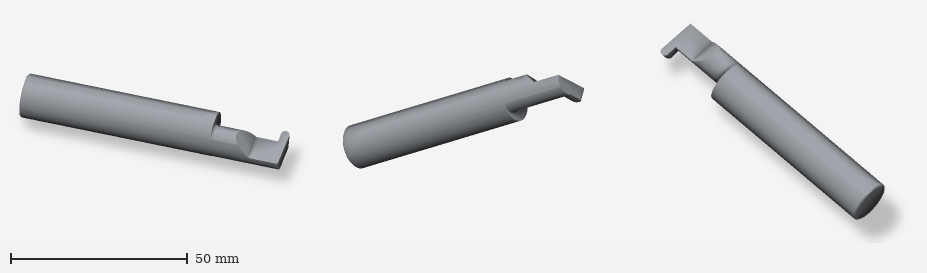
import cadquery as cq
import math

total_length = 76.2
shank_diameter = 12.65
shank_radius = shank_diameter / 2
height_over_flat = 12.4
flat_z = height_over_flat - shank_radius
shank_length = 55.8
rear_chamfer = 0.4

neck_radius = 4.6
neck_axis_y = -2.6
neck_back_radius = 3.8
root_fillet = 0.6
cutting_face_z = 0.0
slope_end_x = 67.3
slope_start_x = slope_end_x - (neck_radius - cutting_face_z)

tooth_width = 2.5
nose_radius = tooth_width / 2
tooth_reach = shank_radius
nose_center_y = tooth_reach - nose_radius
tooth_depth = 4.2
tip_relief_angle = 20.0
end_face_setback = 0.45


def make_shank():
    """Round bar with a rear chamfer."""
    bar = cq.Workplane("YZ").circle(shank_radius).extrude(shank_length)
    return bar.faces("<X").chamfer(rear_chamfer)


def make_flat_cutter():
    """Block that leaves one flat along the top of the shank."""
    return cq.Workplane("XY").workplane(offset=flat_z).rect(
        2 * total_length, 2 * shank_diameter
    ).extrude(shank_diameter)


def make_neck():
    """Eccentric neck with a filleted root, trimmed to the shank's cylinder."""
    back_corner_z = neck_radius - neck_back_radius
    arc_offset = neck_back_radius * math.sqrt(0.5)
    back_y = neck_axis_y - neck_back_radius
    arc_y = neck_axis_y - arc_offset
    arc_z = back_corner_z + arc_offset
    shoulder = cq.Workplane("YZ", origin=(shank_length, 0, 0)).rect(
        2 * shank_diameter, 2 * shank_diameter
    ).extrude(-shank_radius)
    neck = (
        cq.Workplane("YZ", origin=(shank_length, 0, 0))
        .moveTo(neck_axis_y, neck_radius)
        .threePointArc((neck_axis_y + neck_radius, 0), (neck_axis_y, -neck_radius))
        .threePointArc((arc_y, -arc_z), (back_y, -back_corner_z))
        .lineTo(back_y, back_corner_z)
        .threePointArc((arc_y, arc_z), (neck_axis_y, neck_radius))
        .close()
        .extrude(total_length - shank_length)
    )
    neck = shoulder.union(neck)
    root_zone = cq.selectors.BoxSelector(
        (shank_length - root_fillet, -shank_diameter + root_fillet, -shank_radius),
        (shank_length + root_fillet, shank_diameter - root_fillet, shank_radius),
    )
    neck = neck.edges(root_zone).fillet(root_fillet)
    envelope = cq.Workplane("YZ").circle(shank_radius).extrude(total_length)
    clearance = (
        cq.Workplane("XZ")
        .moveTo(slope_start_x, neck_radius)
        .lineTo(slope_end_x, cutting_face_z)
        .lineTo(total_length, cutting_face_z)
        .lineTo(total_length, neck_radius)
        .close()
        .extrude(shank_diameter, both=True)
    )
    return neck.intersect(envelope).cut(clearance)


def make_tooth():
    """Round-nosed tooth whose tip recedes below the cutting face."""
    tip_recession = tooth_depth * math.tan(math.radians(tip_relief_angle))
    root_y = neck_axis_y + tip_recession
    inner_x = total_length - tooth_width
    outline = (
        cq.Workplane("XY", origin=(0, 0, cutting_face_z))
        .moveTo(inner_x, root_y)
        .lineTo(inner_x, nose_center_y)
        .threePointArc((total_length - nose_radius, tooth_reach), (total_length, nose_center_y))
        .lineTo(total_length, root_y)
        .close()
    )
    direction = cq.Vector(0, -tip_recession, -tooth_depth)
    tooth = cq.Solid.extrudeLinear(outline.val(), [], direction)
    return cq.Workplane(obj=tooth)


def make_end_relief():
    """Wedge that slants the end face back from the tooth nose toward -Y."""
    return (
        cq.Workplane("XY", origin=(0, 0, -shank_radius))
        .moveTo(total_length, nose_center_y)
        .lineTo(total_length - end_face_setback, -shank_radius)
        .lineTo(total_length, -shank_radius)
        .close()
        .extrude(shank_diameter)
    )


body = make_shank().union(make_neck()).union(make_tooth())
result = body.cut(make_flat_cutter()).cut(make_end_relief())